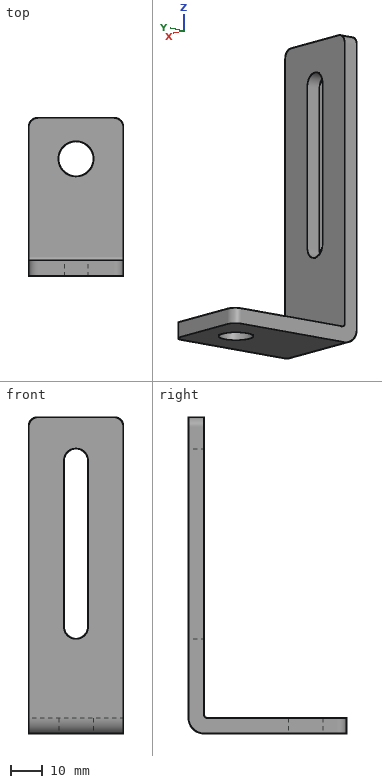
import cadquery as cq

width = 30.0
depth = 50.0
height = 100.0
thickness = 5.0

outer_bend_radius = 5.0
inner_bend_radius = 1.0
corner_radius = 3.0

slot_width = 7.5
slot_bottom = 30.0
slot_top = 90.0

hole_diameter = 11.0
hole_y = 37.0


def bent_strip():
    """L-shaped strip centred on X, upright outer face at Y = 0, underside at Z = 0."""
    foot = cq.Workplane("XY").box(width, depth, thickness, centered=(True, False, False))
    upright = cq.Workplane("XY").box(width, thickness, height, centered=(True, False, False))
    strip = foot.union(upright)
    strip = strip.edges("|X and <Y and <Z").fillet(outer_bend_radius)
    inner_edge = cq.selectors.NearestToPointSelector((0, thickness, thickness))
    return strip.edges(inner_edge).fillet(inner_bend_radius)


def round_free_ends(strip):
    """Round the two corners at the free end of each leg."""
    strip = strip.faces(">Z").edges("|Y").fillet(corner_radius)
    return strip.faces(">Y").edges("|Z").fillet(corner_radius)


def slot_cutter():
    slot_length = slot_top - slot_bottom
    slot_middle = (slot_top + slot_bottom) / 2
    return (
        cq.Workplane("XZ")
        .center(0, slot_middle)
        .slot2D(slot_length, slot_width, 90)
        .extrude(-thickness)
    )


def hole_cutter():
    return cq.Workplane("XY").center(0, hole_y).circle(hole_diameter / 2).extrude(thickness)


result = round_free_ends(bent_strip()).cut(slot_cutter()).cut(hole_cutter())